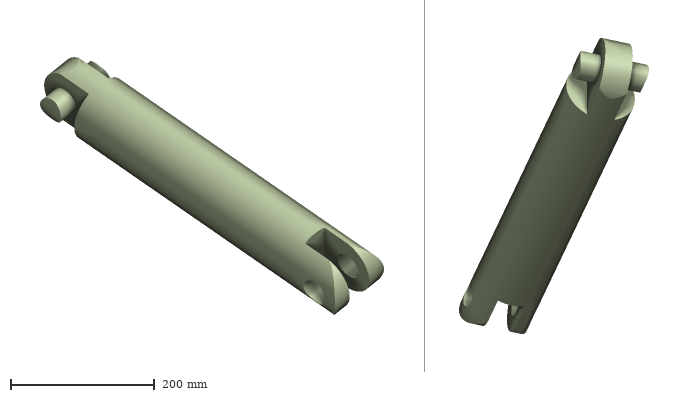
import cadquery as cq
import math

body_radius = 50.0
pin_spacing = 500.0
end_reach = 40.0
shoulder_reach = 45.0
pin_diameter = 40.0
tongue_width = 40.0
tilt_angle = 0.04

tongue_half_width = tongue_width / 2
hole_x = pin_spacing
tongue_tip_x = -end_reach
fork_tip_x = hole_x + end_reach
shoulder_x = shoulder_reach
slot_floor_x = hole_x - shoulder_reach
side_face_half_height = math.sqrt(body_radius**2 - tongue_half_width**2)
body_diameter = 2 * body_radius


def make_profile():
    """XZ outline of the link: straight flanks closed by an arc at each end.

    The tongue arc starts above and below the pin axis at full body height.  The fork arc starts
    above and below the hole axis at the height of the slot walls.
    """
    return (
        cq.Workplane("XZ")
        .moveTo(0, -body_radius)
        .threePointArc((tongue_tip_x, 0), (0, body_radius))
        .lineTo(slot_floor_x, body_radius)
        .lineTo(slot_floor_x, side_face_half_height)
        .lineTo(hole_x, side_face_half_height)
        .threePointArc((fork_tip_x, 0), (hole_x, -side_face_half_height))
        .lineTo(slot_floor_x, -side_face_half_height)
        .lineTo(slot_floor_x, -body_radius)
        .close()
        .extrude(body_radius, both=True)
    )


def make_envelope():
    """Round bar that bounds the body and the pin ends."""
    return (
        cq.Workplane("YZ", origin=(tongue_tip_x, 0, 0))
        .circle(body_radius)
        .extrude(fork_tip_x - tongue_tip_x)
    )


def make_tongue_reliefs():
    """Blocks removed from both sides to leave the flat tongue."""
    length = shoulder_x - tongue_tip_x
    width = body_radius - tongue_half_width
    offset = tongue_half_width + width / 2
    return (
        cq.Workplane("XY")
        .pushPoints([(tongue_tip_x + length / 2, side * offset) for side in (-1, 1)])
        .box(length, width, body_diameter)
    )


def make_slot():
    """Block removed from the fork end to form its two prongs."""
    length = fork_tip_x - slot_floor_x
    return (
        cq.Workplane("XY")
        .center(slot_floor_x + length / 2, 0)
        .box(length, tongue_width, body_diameter)
    )


def make_cross_cylinder(x):
    """Cylinder along Y, as wide as the body, used for the pin and for the fork hole."""
    return (
        cq.Workplane("XZ", origin=(x, 0, 0))
        .circle(pin_diameter / 2)
        .extrude(body_radius, both=True)
    )


envelope = make_envelope()
body = make_profile().intersect(envelope)
body = body.cut(make_tongue_reliefs())
body = body.cut(make_slot())
body = body.cut(make_cross_cylinder(hole_x))

pin = make_cross_cylinder(0).intersect(envelope)
link = body.union(pin)

result = link.rotate((0, 0, 0), (0, 1, 0), tilt_angle)